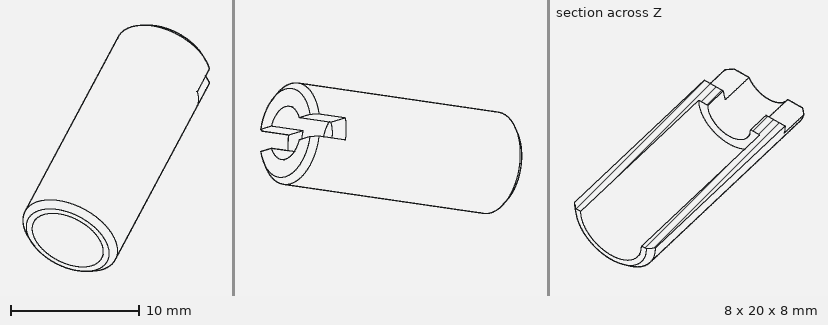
import cadquery as cq

length = 20.0
outer_diameter = 8.0
end_chamfer = 0.5

wide_bore_diameter = 6.0
narrow_bore_diameter = 4.2

slot_width = 1.75
slot_depth = 3.0

shoulder_thickness = 2.0
wide_bore_depth = length - slot_depth - shoulder_thickness

front_y = -length / 2
back_y = length / 2


def cylinder_along_y(diameter, start_y, cylinder_length):
    """Solid cylinder on the Y axis, reaching from start_y towards +Y."""
    start_plane = cq.Plane(origin=(0, start_y, 0), xDir=(1, 0, 0), normal=(0, 1, 0))
    return cq.Workplane(start_plane).circle(diameter / 2).extrude(cylinder_length)


def slot_cutter():
    """Block that runs across the full diameter in X, centred on the axis."""
    return cq.Workplane("XY").box(outer_diameter, slot_depth, slot_width).translate(
        (0, back_y - slot_depth / 2, 0)
    )


body = cylinder_along_y(outer_diameter, front_y, length)
body = body.faces("<Y or >Y").chamfer(end_chamfer)

wide_bore = cylinder_along_y(wide_bore_diameter, front_y, wide_bore_depth)
narrow_bore = cylinder_along_y(narrow_bore_diameter, front_y, length)

result = body.cut(wide_bore).cut(narrow_bore).cut(slot_cutter())